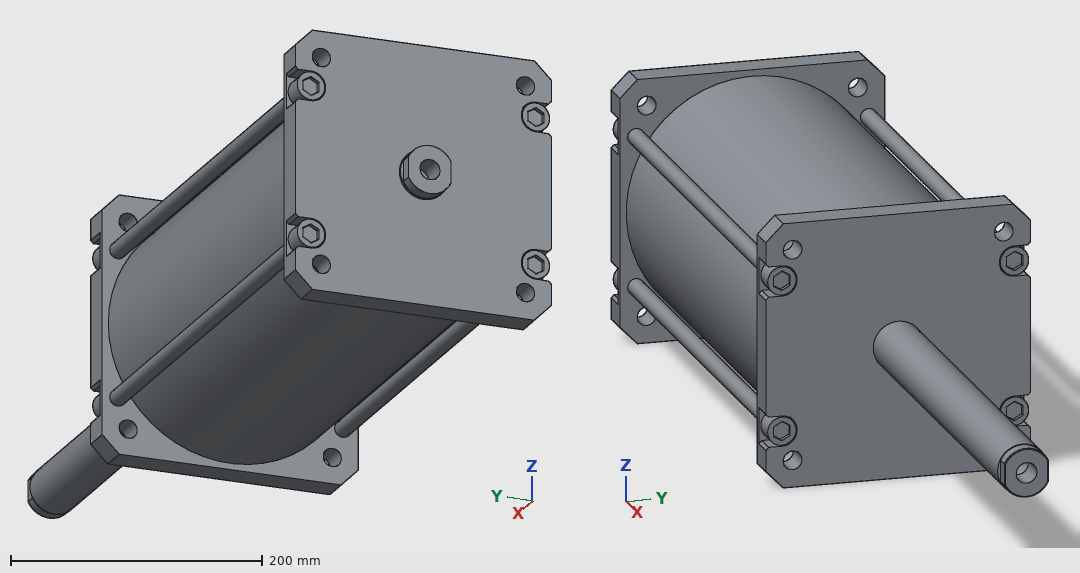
import cadquery as cq
import math

overall_length = 811.5
rear_stub_length = 14.0
plate_span = 436.0
plate_thickness = 24.0

plate_side = 220.0
corner_chamfer = 15.0
mounting_hole_offset = 88.0
mounting_hole_diameter = 15.5

barrel_diameter = 209.0

tie_rod_y = 96.5
tie_rod_z = 62.5
tie_rod_diameter = 14.0
head_diameter = 23.5
head_length = 19.5
socket_across_flats = 14.0
socket_depth = 4.0
pocket_width = 25.0
pocket_mouth_chamfer = 2.5

rod_diameter = 41.0
rod_end_diameter = 40.5
rear_end_length = 11.0
front_end_length = 11.0
front_tip_chamfer = 1.0
flat_width = 36.5
rod_hole_diameter = 17.0
rod_hole_depth = 24.0
drill_cone_depth = 5.0

barrel_length = plate_span - 2 * plate_thickness
rod_start = -rear_stub_length
rod_end = rod_start + overall_length
tie_rod_places = [(y, z) for y in (-tie_rod_y, tie_rod_y) for z in (-tie_rod_z, tie_rod_z)]


def cylinder_x(x_start, length, diameter, y=0.0, z=0.0):
    """Cylinder along +X that starts at x_start with its axis through (y, z)."""
    return cq.Workplane("YZ", origin=(x_start, y, z)).circle(diameter / 2).extrude(length)


def make_pocket(x_start, y, z):
    """Round head pocket, open to the nearer side of the plate through a slot with a chamfered mouth."""
    side = 1 if y > 0 else -1
    half_width = pocket_width / 2
    mouth_half_width = half_width + pocket_mouth_chamfer
    edge = plate_side / 2 * side
    flare_start = edge - pocket_mouth_chamfer * side
    slot_outline = [
        (y, z - half_width),
        (flare_start, z - half_width),
        (edge, z - mouth_half_width),
        (edge, z + mouth_half_width),
        (flare_start, z + half_width),
        (y, z + half_width),
    ]
    slot = cq.Workplane("YZ", origin=(x_start, 0, 0)).polyline(slot_outline).close().extrude(head_length)
    return slot.union(cylinder_x(x_start, head_length, pocket_width, y, z))


def make_plate(x_start, pocket_start):
    """Square end plate with chamfered corners, mounting holes, tie rod seats and a rod bore."""
    plate = (
        cq.Workplane("YZ", origin=(x_start, 0, 0))
        .rect(plate_side, plate_side)
        .extrude(plate_thickness)
        .edges("|X")
        .chamfer(corner_chamfer)
    )
    mounting_holes = (
        cq.Workplane("YZ", origin=(x_start, 0, 0))
        .rect(2 * mounting_hole_offset, 2 * mounting_hole_offset, forConstruction=True)
        .vertices()
        .circle(mounting_hole_diameter / 2)
        .extrude(plate_thickness)
    )
    plate = plate.cut(mounting_holes).cut(cylinder_x(x_start, plate_thickness, rod_diameter))
    for y, z in tie_rod_places:
        plate = plate.cut(cylinder_x(x_start, plate_thickness, tie_rod_diameter, y, z))
        plate = plate.cut(make_pocket(pocket_start, y, z))
    return plate


def make_barrel():
    """Round barrel between the plates, bored for the rod."""
    barrel = cylinder_x(plate_thickness, barrel_length, barrel_diameter)
    return barrel.cut(cylinder_x(plate_thickness, barrel_length, rod_diameter))


def make_hex_socket(x_start, y, z):
    """Hexagonal socket with two corners pointing along Z."""
    across_corners = socket_across_flats / math.cos(math.pi / 6)
    hexagon = cq.Workplane("YZ", origin=(x_start, y, z)).transformed(rotate=(0, 0, 90))
    return hexagon.polygon(6, across_corners).extrude(socket_depth)


def make_tie_rod(y, z):
    """Tie rod with a round hex-socket head flush with the outer face of each plate."""
    far_head_start = plate_span - head_length
    tie_rod = cylinder_x(0, plate_span, tie_rod_diameter, y, z)
    for head_start in (0, far_head_start):
        tie_rod = tie_rod.union(cylinder_x(head_start, head_length, head_diameter, y, z))
    for socket_start in (0, plate_span - socket_depth):
        tie_rod = tie_rod.cut(make_hex_socket(socket_start, y, z))
    return tie_rod


def make_rod_end(x_start, length):
    """Slightly reduced end of the rod with a flat on each Y side."""
    flats_envelope = cq.Workplane("YZ", origin=(x_start, 0, 0)).rect(flat_width, rod_diameter).extrude(length)
    return cylinder_x(x_start, length, rod_end_diameter).intersect(flats_envelope)


def make_rod_hole(end_x, inward):
    """Blind axial hole with a conical bottom, drilled inward (+1 or -1 along X) from end_x."""
    radius = rod_hole_diameter / 2
    half_profile = [
        (end_x, 0),
        (end_x, radius),
        (end_x + inward * rod_hole_depth, radius),
        (end_x + inward * (rod_hole_depth + drill_cone_depth), 0),
    ]
    return cq.Workplane("XY").polyline(half_profile).close().revolve(360, (0, 0, 0), (1, 0, 0))


def make_piston_rod():
    """Rod through the whole length, with a flatted end and a drilled hole at both ends."""
    shaft_start = rod_start + rear_end_length
    shaft_end = rod_end - front_end_length
    rear_end = make_rod_end(rod_start, rear_end_length)
    front_end = make_rod_end(shaft_end, front_end_length).faces(">X").chamfer(front_tip_chamfer)
    shaft = cylinder_x(shaft_start, shaft_end - shaft_start, rod_diameter)
    rod = shaft.union(rear_end).union(front_end)
    return rod.cut(make_rod_hole(rod_start, 1)).cut(make_rod_hole(rod_end, -1))


rear_plate = make_plate(0, 0)
front_plate = make_plate(plate_span - plate_thickness, plate_span - head_length)
barrel = make_barrel()
piston_rod = make_piston_rod()
tie_rods = [make_tie_rod(y, z) for y, z in tie_rod_places]

result = cq.Compound.makeCompound(
    [
        rear_plate.val(),
        front_plate.val(),
        barrel.val(),
        piston_rod.val(),
        *[tie_rod.val() for tie_rod in tie_rods],
    ]
)